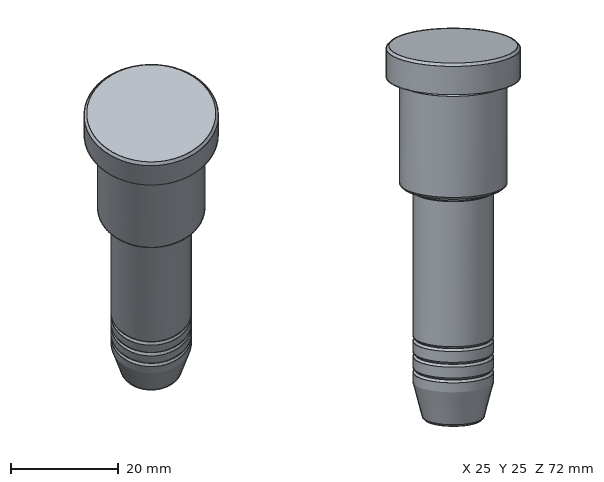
import cadquery as cq

total_length = 72.0
head_height = 6.0
head_radius = 12.49
body_bottom = 45.0
body_radius = 10.0
pin_radius = 7.5
taper_height = 7.1
tip_radius = 5.75

edge_chamfer = 0.5
tip_chamfer = 0.4

relief_width = 1.0
relief_depth = relief_width / 2

groove_width = 0.9
groove_depth = 0.4
groove_count = 3
groove_pitch = 3.0
first_groove_bottom = 9.0

undercut_height = 1.0
undercut_depth = 0.5

head_bottom = total_length - head_height


def make_blank():
    """Revolve the stepped pin, without its grooves, about Z."""
    profile = [
        (0, 0),
        (tip_radius - tip_chamfer, 0),
        (tip_radius, tip_chamfer),
        (pin_radius, taper_height),
        (pin_radius, body_bottom),
        (body_radius - edge_chamfer, body_bottom),
        (body_radius, body_bottom + edge_chamfer),
        (body_radius, head_bottom),
        (head_radius, head_bottom),
        (head_radius, total_length - edge_chamfer),
        (head_radius - edge_chamfer, total_length),
        (0, total_length),
    ]
    return cq.Workplane("XZ").polyline(profile).close().revolve(360, (0, 0), (0, 1))


def make_groove(radius, bottom, width, depth):
    """Ring with 45 degree flanks to cut from a cylinder, starting at height bottom."""
    floor_radius = radius - depth
    top = bottom + width
    profile = cq.Workplane("XZ").moveTo(radius, bottom).lineTo(floor_radius, bottom + depth)
    if width > 2 * depth:
        profile = profile.lineTo(floor_radius, top - depth)
    return profile.lineTo(radius, top).close().revolve(360, (0, 0), (0, 1))


def make_undercut():
    """Square ring to cut from the pin right below the body."""
    return (
        cq.Workplane("XY", origin=(0, 0, body_bottom - undercut_height))
        .circle(pin_radius)
        .circle(pin_radius - undercut_depth)
        .extrude(undercut_height)
    )


result = make_blank()

result = result.cut(make_groove(body_radius, head_bottom - relief_width, relief_width, relief_depth))
result = result.cut(make_undercut())

for index in range(groove_count):
    groove_bottom = first_groove_bottom + index * groove_pitch
    result = result.cut(make_groove(pin_radius, groove_bottom, groove_width, groove_depth))